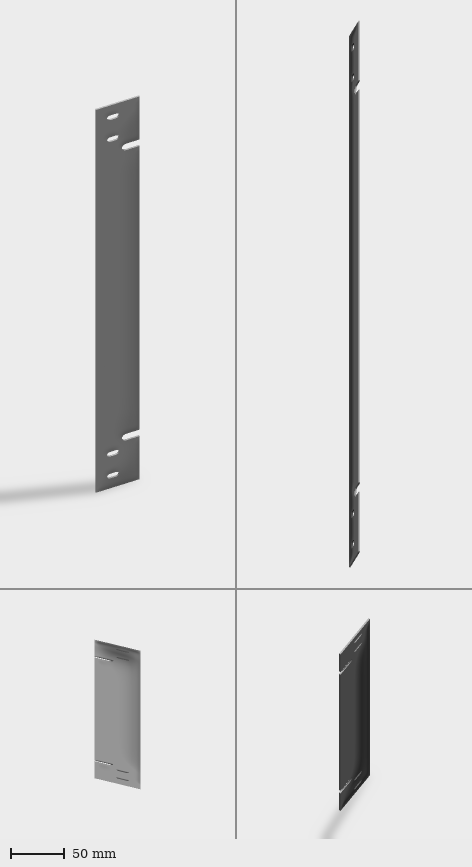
import cadquery as cq

thickness = 1.5
width = 44.0
height = 526.0

slot_length = 12.0
slot_height = 6.5
slot_center_y = -4.5
slot_end_distances = (17.0, 47.0)

notch_height = 9.0
notch_depth = 18.0
notch_end_distance = 63.5


def plate():
    return cq.Workplane("XY").box(thickness, width, height)


def obround_cutter(length, across, center_y, center_z):
    """Round-ended cutter running along Y and passing through the strip."""
    return (
        cq.Workplane("YZ")
        .center(center_y, center_z)
        .slot2D(length, across)
        .extrude(thickness, both=True)
    )


result = plate()
notch_length = 2 * notch_depth
for end in (-1, 1):
    for distance in slot_end_distances:
        slot_center_z = end * (height / 2 - distance)
        result = result.cut(obround_cutter(slot_length, slot_height, slot_center_y, slot_center_z))
    notch_center_z = end * (height / 2 - notch_end_distance)
    result = result.cut(obround_cutter(notch_length, notch_height, width / 2, notch_center_z))